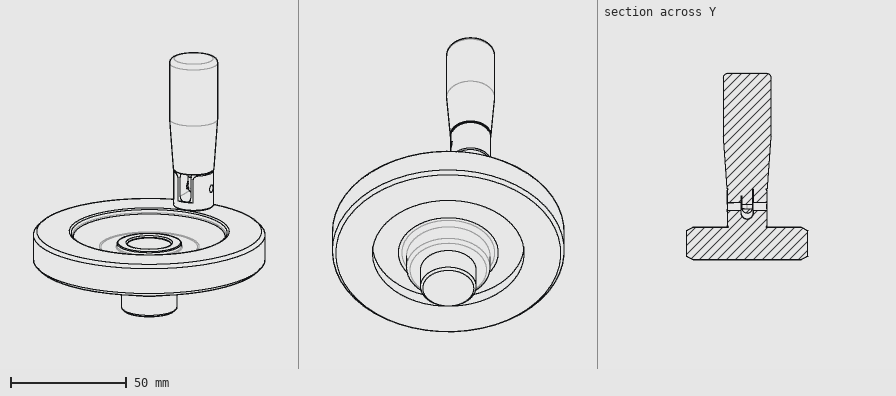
import cadquery as cq

HUB_BOTTOM_Z = 11.0
RIM_BOTTOM_Z = 21.0
RIM_TOP_Z = 35.2

RIM_RADIUS = 50.0
RIM_CHAMFER = 1.5
MOUTH_RADIUS = 34.5
MOUTH_BEVEL_RADIUS = 33.6
MOUTH_BEVEL_DROP = 0.5
BOWL_RADIUS = 32.7
BOWL_DROP = 2.2
MOUTH_WALL_RADIUS = 33.1
MOUTH_WALL_DROP = 1.7

FLOOR_Z = RIM_TOP_Z - 7.0
FLOOR_RADIUS = 20.85
FLOOR_BLEND_RADIUS = 21.55
FLOOR_BLEND_RISE = 0.15
WEB_THICKNESS = 6.8

HUB_RADIUS = 18.0
HUB_ROUND = 1.5
HUB_ROOT_FILLET = 2.0
BOSS_RADIUS = 13.9
BOSS_ROOT_FILLET = 0.4
BOSS_HEIGHT = 2.0
BOSS_CHAMFER = 0.4
BORE_RADIUS = 9.4
BORE_CHAMFER = 0.6
BORE_DEPTH = 0.9
SHAFT_RADIUS = 12.0
SHAFT_CHAMFER = 1.0

HANDLE_Y = 42.5
SOCKET_RADIUS = 8.65
SOCKET_EDGE = 0.5
GRIP_BOTTOM_Z = 51.5
GRIP_TAPER_TOP_Z = 74.2
GRIP_TOP_Z = 101.5
GRIP_RADIUS = 10.4
GRIP_BOTTOM_RADIUS = 8.8
GRIP_BOTTOM_EDGE = 0.3
GRIP_TOP_ROUND = 2.0

FLAT_DISTANCE = 7.8
FLAT_BOTTOM_Z = 39.0
FLAT_TOP_ROUND = 2.0
CHANNEL_WIDTH = 5.1
CHANNEL_END_Z = 41.2
CHANNEL_BACK = 3.0
SPINDLE_RADIUS = 2.5
SPINDLE_STEP_Z = 48.5
SPINDLE_NECK_RADIUS = 2.4
SPINDLE_BALL_Z = 43.5
PIVOT_Z = 44.0
PIVOT_HOLE_RADIUS = 1.6
PIVOT_BORE_RADIUS = 0.9


def revolve_about_z(profile):
    """Turn a closed (radius, height) profile about the Z axis."""
    return profile.close().revolve(360, (0, 0, 0), (0, 1, 0))


def make_wheel():
    web_bottom = FLOOR_Z - WEB_THICKNESS
    bowl_top = RIM_TOP_Z - BOWL_DROP
    boss_top = FLOOR_Z + BOSS_HEIGHT
    profile = (
        cq.Workplane("XZ")
        .moveTo(0, 0)
        .lineTo(SHAFT_RADIUS - SHAFT_CHAMFER, 0)
        .lineTo(SHAFT_RADIUS, SHAFT_CHAMFER)
        .lineTo(SHAFT_RADIUS, HUB_BOTTOM_Z)
        .lineTo(HUB_RADIUS - HUB_ROUND, HUB_BOTTOM_Z)
        .radiusArc((HUB_RADIUS, HUB_BOTTOM_Z + HUB_ROUND), -HUB_ROUND)
        .lineTo(HUB_RADIUS, web_bottom - HUB_ROOT_FILLET)
        .radiusArc((HUB_RADIUS + HUB_ROOT_FILLET, web_bottom), HUB_ROOT_FILLET)
        .lineTo(FLOOR_BLEND_RADIUS, web_bottom)
        .lineTo(BOWL_RADIUS, bowl_top - WEB_THICKNESS)
        .lineTo(BOWL_RADIUS, RIM_BOTTOM_Z)
        .lineTo(RIM_RADIUS - RIM_CHAMFER, RIM_BOTTOM_Z)
        .lineTo(RIM_RADIUS, RIM_BOTTOM_Z + RIM_CHAMFER)
        .lineTo(RIM_RADIUS, RIM_TOP_Z - RIM_CHAMFER)
        .lineTo(RIM_RADIUS - RIM_CHAMFER, RIM_TOP_Z)
        .lineTo(MOUTH_RADIUS, RIM_TOP_Z)
        .lineTo(MOUTH_BEVEL_RADIUS, RIM_TOP_Z - MOUTH_BEVEL_DROP)
        .lineTo(MOUTH_WALL_RADIUS, RIM_TOP_Z - MOUTH_WALL_DROP)
        .lineTo(BOWL_RADIUS, bowl_top)
        .lineTo(FLOOR_BLEND_RADIUS, FLOOR_Z + FLOOR_BLEND_RISE)
        .lineTo(FLOOR_RADIUS, FLOOR_Z)
        .lineTo(BOSS_RADIUS + BOSS_ROOT_FILLET, FLOOR_Z)
        .radiusArc((BOSS_RADIUS, FLOOR_Z + BOSS_ROOT_FILLET), BOSS_ROOT_FILLET)
        .lineTo(BOSS_RADIUS, boss_top - BOSS_CHAMFER)
        .lineTo(BOSS_RADIUS - BOSS_CHAMFER, boss_top)
        .lineTo(BORE_RADIUS + BORE_CHAMFER, boss_top)
        .lineTo(BORE_RADIUS, boss_top - BORE_CHAMFER)
        .lineTo(BORE_RADIUS, boss_top - BORE_DEPTH)
        .lineTo(0, boss_top - BORE_DEPTH)
    )
    return revolve_about_z(profile)


def make_socket():
    """Lower cylinder of the handle, with its flat, channel and pivot hole."""
    height = GRIP_BOTTOM_Z - RIM_TOP_Z
    socket = (
        cq.Workplane("XY")
        .workplane(offset=RIM_TOP_Z)
        .circle(SOCKET_RADIUS)
        .extrude(height)
        .edges()
        .chamfer(SOCKET_EDGE)
    )
    flat_cut = (
        cq.Workplane("YZ")
        .moveTo(-SOCKET_RADIUS, FLAT_BOTTOM_Z)
        .lineTo(-FLAT_DISTANCE, FLAT_BOTTOM_Z)
        .lineTo(-FLAT_DISTANCE, GRIP_BOTTOM_Z - FLAT_TOP_ROUND)
        .radiusArc((-FLAT_DISTANCE + FLAT_TOP_ROUND, GRIP_BOTTOM_Z), FLAT_TOP_ROUND)
        .lineTo(-SOCKET_RADIUS, GRIP_BOTTOM_Z)
        .close()
        .extrude(SOCKET_RADIUS, both=True)
    )
    half_width = CHANNEL_WIDTH / 2
    channel = (
        cq.Workplane("XZ", origin=(0, CHANNEL_BACK, 0))
        .moveTo(-half_width, GRIP_BOTTOM_Z)
        .lineTo(-half_width, CHANNEL_END_Z)
        .threePointArc((0, CHANNEL_END_Z - half_width), (half_width, CHANNEL_END_Z))
        .lineTo(half_width, GRIP_BOTTOM_Z)
        .close()
        .extrude(CHANNEL_BACK + FLAT_DISTANCE)
    )
    return socket.cut(flat_cut).cut(channel).cut(pivot_cylinder(PIVOT_HOLE_RADIUS))


def make_grip():
    """Tapered grip with the stepped spindle that hangs into the channel."""
    profile = (
        cq.Workplane("XZ")
        .moveTo(0, SPINDLE_BALL_Z - SPINDLE_NECK_RADIUS)
        .radiusArc((SPINDLE_NECK_RADIUS, SPINDLE_BALL_Z), -SPINDLE_NECK_RADIUS)
        .lineTo(SPINDLE_NECK_RADIUS, SPINDLE_STEP_Z)
        .lineTo(SPINDLE_RADIUS, SPINDLE_STEP_Z)
        .lineTo(SPINDLE_RADIUS, GRIP_BOTTOM_Z)
        .lineTo(GRIP_BOTTOM_RADIUS - GRIP_BOTTOM_EDGE, GRIP_BOTTOM_Z)
        .lineTo(GRIP_BOTTOM_RADIUS, GRIP_BOTTOM_Z + GRIP_BOTTOM_EDGE)
        .lineTo(GRIP_RADIUS, GRIP_TAPER_TOP_Z)
        .lineTo(GRIP_RADIUS, GRIP_TOP_Z - GRIP_TOP_ROUND)
        .radiusArc((GRIP_RADIUS - GRIP_TOP_ROUND, GRIP_TOP_Z), -GRIP_TOP_ROUND)
        .lineTo(0, GRIP_TOP_Z)
    )
    return revolve_about_z(profile).cut(pivot_cylinder(PIVOT_BORE_RADIUS))


def pivot_cylinder(radius):
    """Cylinder along X through the handle at pivot height."""
    return (
        cq.Workplane("YZ")
        .center(0, PIVOT_Z)
        .circle(radius)
        .extrude(SOCKET_RADIUS, both=True)
    )


handle = make_socket().union(make_grip())
result = make_wheel().union(handle.translate((0, HANDLE_Y, 0)))